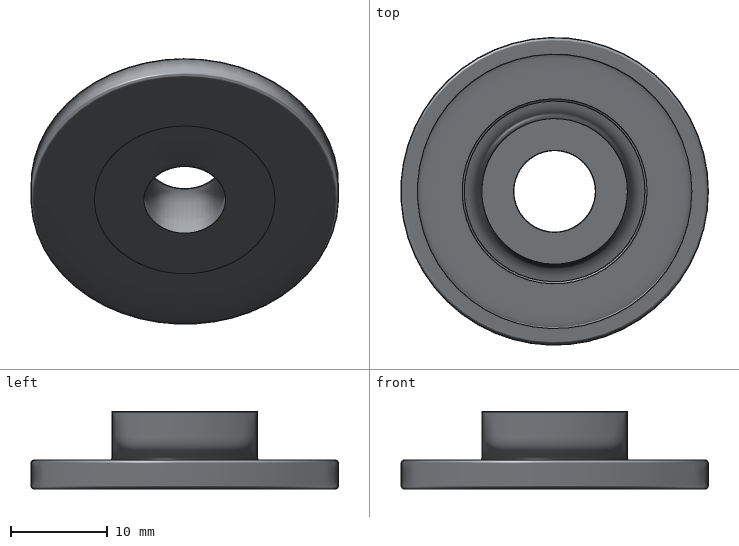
import cadquery as cq

outer_radius = 15.85
total_height = 8.0
rim_height = 3.0

bore_radius = 8.4 / 2
boss_radius = 15.0 / 2
boss_fillet = 0.7
flange_radius = 18.6 / 2
flange_height = 2.6

rim_edge_fillet = 0.4
recess_radius = 14.15
recess_fillet = 0.15
web_height = 2.7
bevel_width = 0.22
bevel_height = web_height - flange_height


def cylinder(radius, bottom, top):
    """Solid cylinder about the Z axis between two heights."""
    return cq.Workplane("XY").workplane(offset=bottom).circle(radius).extrude(top - bottom)


def make_hub():
    """Flange and boss with a rounded foot and a through bore."""
    flange = cylinder(flange_radius, 0, flange_height)
    boss = cylinder(boss_radius, flange_height, total_height)
    hub = flange.union(boss)
    foot = hub.edges("(not <Z) and (not >Z)").edges(cq.selectors.RadiusNthSelector(0))
    hub = foot.fillet(boss_fillet)
    return hub.cut(cylinder(bore_radius, 0, total_height))


def make_disc():
    """Ring with a rounded rim, a shallow recess and a bevelled hub hole."""
    disc = cylinder(outer_radius, 0, rim_height).edges().fillet(rim_edge_fillet)

    recess = cylinder(recess_radius, web_height, rim_height)
    recess = recess.faces("<Z").edges().fillet(recess_fillet)
    disc = disc.cut(recess).cut(cylinder(flange_radius, 0, rim_height))

    bevel = (
        cq.Workplane("XZ")
        .moveTo(0, flange_height)
        .lineTo(flange_radius, flange_height)
        .lineTo(flange_radius + bevel_width, flange_height + bevel_height)
        .lineTo(0, flange_height + bevel_height)
        .close()
        .revolve(360, (0, 0, 0), (0, 1, 0))
    )
    return disc.cut(bevel)


hub = make_hub()
disc = make_disc()
result = cq.Compound.makeCompound([hub.val(), disc.val()])